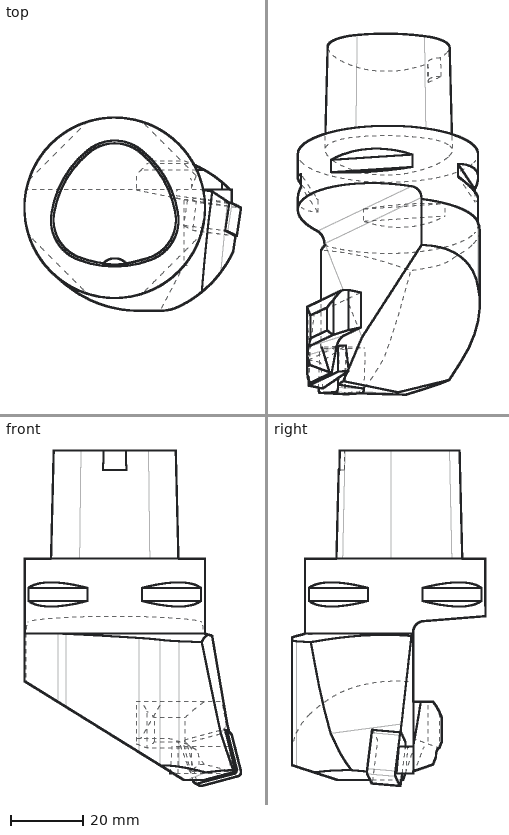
import cadquery as cq
import math


shank_length = 30.0
shank_base_radius = 17.45
shank_taper = 1 / 40
shank_lobe_height = 1.15
shank_lobes = 3
notch_radius = 4.2
notch_center_y = -18.2
notch_depth = 5.4

flange_radius = 25.0
flange_bottom = -20.75
slot_count = 4
slot_floor_distance = 22.2
slot_z = -9.9
slot_floor_width = 3.6
slot_mouth_width = 6.7

head_radius = 25.04
head_front_y = -28.57
outline_radius = 32.0
corner_radius = 12.0
flat_start_x = 6.7
flat_end_x = 12.6
corner_end_angle = 26.0
left_flat_angle = 39.0
head_shoulder_slope = 15.5
head_floor = -61.3

relief_y = 5.0
relief_edge_z = -15.95
relief_slope = 4.6
relief_fillet = 3.0
underside_slope = 31.8
underside_left_z = -33.9
heel_slope = 18.0
heel_z = -57.2
upper_side_point = (24.1, -23.7, -23.4)
upper_side_normal = (1.0, -0.116, 0.184)

insert_side = 12.7
insert_thickness = 7.94
insert_nose_radius = 1.2
insert_tip = (35.255, -0.1, -59.955)
insert_lead_angle = 15.0
insert_tilt = 7.0
insert_overhang = 0.5

clamp_top_y = 12.9
clamp_shoulder_y = 10.5
clamp_side_y = 9.1
clamp_left_x = 6.0
clamp_bevel_x = 9.0
clamp_bevel_y = 12.2
clamp_crest_x = 11.0
clamp_arc_center = (8.8, -17.8)
clamp_arc_radius = 32.5
clamp_upper_z = -39.6
clamp_round_z = -44.0
clamp_round_middle = (12.0, -41.9)
clamp_knee_z = -50.7
clamp_shoulder_z = -57.0
clamp_tip_z = -58.9
clamp_nose_x = 17.5
clamp_nose_kink_x = 21.2
clamp_nose_kink_y = 8.5
clamp_nose_top_x = 23.4
clamp_nose_top_z = -49.8
clamp_nose_lean = 20.0
clamp_nose_fillet = 2.0
clamp_end_point = (31.2, 0.0, -47.7)
clamp_end_normal = (1.0, 0.0, 0.184)
foot_right_x = 32.4
foot_upper_z = -52.0
foot_lower_z = -59.5

reach = 200.0
depth = 100.0


def beyond(point, normal):
    """Large block that fills the half space on the normal's side of a plane."""
    plane = cq.Plane(origin=point, normal=normal)
    return cq.Workplane(plane).rect(reach, reach).extrude(reach)


def shifted(point, direction, distance):
    """Point moved along a direction."""
    return (cq.Vector(*point) + direction * distance).toTuple()


lead = math.radians(insert_lead_angle)
rise = math.tan(math.radians(insert_tilt))
end_edge = cq.Vector(-math.cos(lead), rise, -math.sin(lead)).normalized()
rake_normal = end_edge.cross(cq.Vector(-math.sin(lead), rise, math.cos(lead))).normalized()
side_edge = rake_normal.cross(end_edge)


def shank_point(turn, radius):
    """Point of the three-lobed shank outline, with its first lobe toward +Y at turn 0."""
    return (
        radius * math.sin(turn) - shank_lobe_height * math.sin(2 * turn),
        radius * math.cos(turn) + shank_lobe_height * math.cos(2 * turn),
    )


def shank_outline(z, radius):
    """Lobe and side arcs in turn, each through its two ends and its middle."""
    arcs = 2 * shank_lobes
    step = math.pi / arcs
    outline = cq.Workplane("XY", origin=(0, 0, z)).moveTo(*shank_point(-step, radius))
    for arc in range(arcs):
        middle = 2 * arc * step
        outline = outline.threePointArc(shank_point(middle, radius), shank_point(middle + step, radius))
    return outline.close().wire().val()


def make_shank():
    top_radius = shank_base_radius - shank_length * shank_taper
    base = shank_outline(0, shank_base_radius)
    top = shank_outline(shank_length, top_radius)
    shank = cq.Workplane(cq.Solid.makeLoft([base, top]))
    notch = (
        cq.Workplane("XY", origin=(0, notch_center_y, shank_length))
        .circle(notch_radius)
        .extrude(-notch_depth)
    )
    return shank.cut(notch)


def make_flange():
    flange = cq.Workplane("XY").circle(flange_radius).extrude(flange_bottom)
    flare = (slot_mouth_width - slot_floor_width) / 2
    slot = (
        cq.Workplane("XZ")
        .polyline([
            (slot_floor_distance, slot_z - slot_floor_width / 2),
            (flange_radius, slot_z - slot_floor_width / 2 - flare),
            (flange_radius, slot_z + slot_floor_width / 2 + flare),
            (slot_floor_distance, slot_z + slot_floor_width / 2),
        ])
        .close()
        .extrude(flange_radius, both=True)
    )
    spacing = 360 / slot_count
    for index in range(slot_count):
        angle = (index + 0.5) * spacing
        flange = flange.cut(slot.rotate((0, 0, 0), (0, 0, 1), angle))
    return flange


def on_arc(center, radius, heading):
    """Point of a counterclockwise arc where it runs at the given heading in degrees."""
    angle = math.radians(heading)
    return (center[0] + radius * math.sin(angle), center[1] - radius * math.cos(angle))


def head_prism():
    """Upright prism of the head outline, all on the -Y side of the relief face."""
    left_center = (flat_start_x, head_front_y + outline_radius)
    corner_center = (flat_end_x, head_front_y + corner_radius)
    right_center = on_arc(corner_center, corner_radius - outline_radius, corner_end_angle)
    start_x = -math.sqrt(head_radius**2 - relief_y**2)
    right_end = on_arc(right_center, outline_radius, 90)
    return (
        cq.Workplane("XY", origin=(0, 0, flange_bottom))
        .moveTo(start_x, relief_y)
        .threePointArc((-head_radius, 0), on_arc((0, 0), head_radius, -left_flat_angle))
        .lineTo(*on_arc(left_center, outline_radius, -left_flat_angle))
        .threePointArc(
            on_arc(left_center, outline_radius, -left_flat_angle / 2),
            (flat_start_x, head_front_y),
        )
        .lineTo(flat_end_x, head_front_y)
        .threePointArc(
            on_arc(corner_center, corner_radius, corner_end_angle / 2),
            on_arc(corner_center, corner_radius, corner_end_angle),
        )
        .threePointArc(
            on_arc(right_center, outline_radius, (corner_end_angle + 90) / 2),
            right_end,
        )
        .lineTo(right_end[0], relief_y)
        .close()
        .extrude(head_floor - flange_bottom)
    )


def shoulder_envelope():
    """Conical envelope whose top slopes down from the flange outward."""
    drop = (depth - head_radius) * math.tan(math.radians(head_shoulder_slope))
    return (
        cq.Workplane("XZ")
        .polyline([
            (0, flange_bottom),
            (head_radius, flange_bottom),
            (depth, flange_bottom - drop),
            (depth, -depth),
            (0, -depth),
        ])
        .close()
        .revolve(360, (0, 0, 0), (0, 1, 0))
    )


def side_cut():
    """Space beyond both side faces, which meet in a hollow; the lower is parallel to the insert."""
    side_point = shifted(insert_tip, end_edge, insert_overhang)
    lower = beyond(side_point, (end_edge * -1).toTuple())
    return lower.intersect(beyond(upper_side_point, upper_side_normal))


def make_head():
    under = math.radians(underside_slope)
    heel = math.radians(heel_slope)
    end_point = shifted(insert_tip, side_edge, insert_overhang)
    cuts = [
        side_cut(),
        beyond(insert_tip, rake_normal.toTuple()),
        beyond(end_point, (side_edge * -1).toTuple()),
        beyond((-head_radius, 0, underside_left_z), (-math.sin(under), 0, -math.cos(under))),
        beyond((0, head_front_y, heel_z), (0, -math.sin(heel), -math.cos(heel))),
    ]
    head = head_prism().intersect(shoulder_envelope())
    for cut in cuts:
        head = head.cut(cut)
    return head


def relief_cut():
    """Space in front of the relief face, with a rounded inner corner under the flange."""
    fall = (flange_radius - relief_y) * math.tan(math.radians(relief_slope))
    return (
        cq.Workplane("YZ")
        .polyline([
            (flange_radius, relief_edge_z),
            (relief_y, relief_edge_z - fall),
            (relief_y, -depth),
            (flange_radius, -depth),
        ])
        .close()
        .extrude(depth, both=True)
        .edges("|X and <Y")
        .edges(">Z")
        .fillet(relief_fillet)
    )


def clamp_arc_x(y):
    """X of the clamp's rounded flank at a given Y."""
    rise_from_center = y - clamp_arc_center[1]
    return clamp_arc_center[0] + math.sqrt(clamp_arc_radius**2 - rise_from_center**2)


def clamp_body():
    """Clamp block: its plan outline and its side outline, both carried through and intersected."""
    top_x = clamp_arc_x(clamp_top_y)
    low_x = clamp_arc_x(relief_y)
    middle_y = (clamp_top_y + relief_y) / 2
    middle_x = clamp_arc_x(middle_y)
    plan = (
        cq.Workplane("XY", origin=(0, 0, -depth))
        .moveTo(clamp_left_x, relief_y)
        .lineTo(clamp_left_x, clamp_side_y)
        .lineTo(clamp_bevel_x, clamp_bevel_y)
        .lineTo(clamp_crest_x, clamp_top_y)
        .lineTo(top_x, clamp_top_y)
        .threePointArc((middle_x, middle_y), (low_x, relief_y))
        .close()
        .extrude(depth)
    )
    side = (
        cq.Workplane("YZ")
        .moveTo(relief_y, clamp_upper_z)
        .lineTo(clamp_shoulder_y, clamp_upper_z)
        .threePointArc(clamp_round_middle, (clamp_top_y, clamp_round_z))
        .lineTo(clamp_top_y, clamp_knee_z)
        .lineTo(clamp_shoulder_y, clamp_shoulder_z)
        .lineTo(relief_y, clamp_tip_z)
        .close()
        .extrude(depth)
    )
    nose_step = (
        cq.Workplane("XY", origin=(0, 0, clamp_nose_top_z))
        .moveTo(0, relief_y)
        .lineTo(clamp_nose_x, relief_y)
        .lineTo(clamp_nose_kink_x, clamp_nose_kink_y)
        .lineTo(clamp_nose_top_x, clamp_top_y)
        .lineTo(clamp_nose_top_x, 2 * clamp_top_y)
        .lineTo(0, 2 * clamp_top_y)
        .close()
        .extrude(2 * (clamp_tip_z - clamp_nose_top_z))
        .faces(">Z")
        .edges("not (|X or |Y)")
        .fillet(clamp_nose_fillet)
        .rotate(
            (0, relief_y, clamp_nose_top_z),
            (1, relief_y, clamp_nose_top_z),
            -clamp_nose_lean,
        )
    )
    return plan.intersect(side).cut(nose_step)


def clamp_foot():
    """Foot that carries the nose down to the rake face, its slanting side continuing the nose's."""
    slant = (clamp_nose_kink_x - clamp_nose_x) / (clamp_nose_kink_y - relief_y)
    foot = (
        cq.Workplane("XY", origin=(0, 0, foot_lower_z))
        .moveTo(clamp_nose_x, relief_y)
        .lineTo(foot_right_x, relief_y)
        .lineTo(foot_right_x, -relief_y)
        .lineTo(clamp_nose_x - 2 * relief_y * slant, -relief_y)
        .close()
        .extrude(foot_upper_z - foot_lower_z)
    )
    return foot.intersect(beyond(insert_tip, rake_normal.toTuple()))


def make_clamp():
    body = clamp_body().cut(beyond(clamp_end_point, clamp_end_normal))
    return body.union(clamp_foot()).cut(side_cut())


def make_insert():
    """Square plate under the rake face, with its nose corner at the insert tip."""
    plane = cq.Plane(origin=insert_tip, xDir=end_edge.toTuple(), normal=rake_normal.toTuple())
    return (
        cq.Workplane(plane)
        .rect(insert_side, insert_side, centered=False)
        .extrude(-insert_thickness)
        .edges(cq.selectors.ParallelDirSelector(rake_normal))
        .fillet(insert_nose_radius)
    )


def make_holder(pocket):
    holder = make_flange().cut(relief_cut())
    holder = holder.union(make_shank()).union(make_head()).union(make_clamp())
    return holder.cut(pocket)


insert = make_insert()
holder = make_holder(insert)

result = cq.Compound.makeCompound([*holder.solids().vals(), insert.val()])